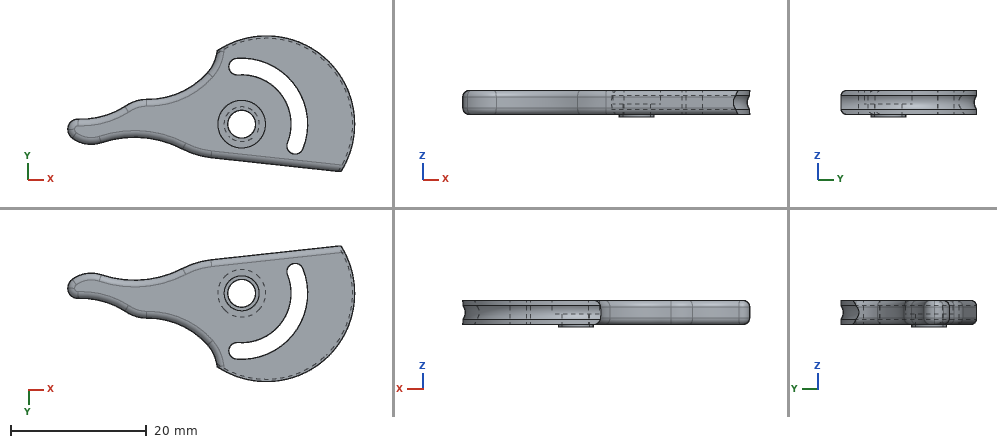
import cadquery as cq
import math

thickness = 3.6
edge_radius = 1.0

rim_radius = 13.0
rim_offset = 3.65
rim_start_angle = 123.9
rim_end_angle = -32.6

head_margin = 2.55
head_lean = 0.42
trim_margin = 3
trim_reach = 3 * rim_radius

groove_half_width = 1.0
groove_depth = 0.35

bore_radius = 2.03
counterbore_radius = 3.5
counterbore_depth = 2.0
boss_radius = 2.57
boss_height = 0.4

slot_radius = 8.5
slot_width = 2.4
slot_start_angle = -22
slot_end_angle = 94.5


def polar(radius, angle, center_x=0):
    """Point at an angle in degrees on a circle centred on the X axis."""
    turn = math.radians(angle)
    return (center_x + radius * math.cos(turn), radius * math.sin(turn))


def make_blank():
    """Lever with an oversized head, rounded along its top and bottom edges."""
    rim_start = polar(rim_radius, rim_start_angle, rim_offset)
    rim_end = polar(rim_radius, rim_end_angle, rim_offset)
    edge_start = (-4.5, -4.95)
    edge_slope = (rim_end[1] - edge_start[1]) / (rim_end[0] - edge_start[0])
    head_right = rim_offset + rim_radius + head_margin
    head_top = rim_radius + head_margin
    head_low = rim_end[1] + edge_slope * (head_right - rim_end[0])
    outline = (
        cq.Workplane("XY")
        .moveTo(-13.95, 3.67)
        .threePointArc((-9.5, 4.47), (-5.02, 7.6))
        .tangentArcPoint(rim_start, relative=False)
        .lineTo(rim_start[0] + head_lean, head_top)
        .lineTo(head_right, head_top)
        .lineTo(head_right, head_low)
        .lineTo(*edge_start)
        .tangentArcPoint((-8.7, -3.67), relative=False)
        .tangentArcPoint((-20.65, -2.75), relative=False)
        .tangentArcPoint((-24.9, -2.05), relative=False)
        .tangentArcPoint((-25.57, -0.75), relative=False)
        .tangentArcPoint((-24.0, 0.75), relative=False)
        .threePointArc((-20.42, 1.2), (-17.18, 2.6))
        .threePointArc((-15.7, 3.38), (-13.95, 3.67))
        .close()
    )
    return outline.extrude(thickness).faces("|Z").edges().fillet(edge_radius)


def make_groove():
    """Torus that sinks a hollow of circular profile into the rim."""
    bottom = rim_radius - groove_depth
    arc_radius = (groove_half_width**2 + groove_depth**2) / (2 * groove_depth)
    ring_radius = bottom + arc_radius
    ring = cq.Solid.makeTorus(ring_radius, arc_radius)
    return cq.Workplane(ring).translate((rim_offset, 0, thickness / 2))


def make_rim_trim():
    """Waste outside the grooved rim; trimming it leaves the rim edges sharp."""
    center = (rim_offset, 0)
    wedge = (
        cq.Workplane("XY")
        .moveTo(*center)
        .lineTo(*polar(trim_reach, rim_end_angle - trim_margin, rim_offset))
        .threePointArc(
            polar(trim_reach, (rim_start_angle + rim_end_angle) / 2, rim_offset),
            polar(trim_reach, rim_start_angle + trim_margin, rim_offset),
        )
        .close()
        .extrude(thickness)
    )
    disc = cq.Workplane("XY").center(*center).circle(rim_radius).extrude(thickness)
    return wedge.cut(disc.cut(make_groove()))


def make_slot():
    """Round-ended slot swept about the pivot."""
    inner = slot_radius - slot_width / 2
    outer = slot_radius + slot_width / 2
    middle_angle = (slot_start_angle + slot_end_angle) / 2
    slot = (
        cq.Workplane("XY")
        .moveTo(*polar(inner, slot_start_angle))
        .threePointArc(polar(inner, middle_angle), polar(inner, slot_end_angle))
        .lineTo(*polar(outer, slot_end_angle))
        .threePointArc(polar(outer, middle_angle), polar(outer, slot_start_angle))
        .close()
        .extrude(thickness)
    )
    ends = [polar(slot_radius, angle) for angle in (slot_start_angle, slot_end_angle)]
    caps = cq.Workplane("XY").pushPoints(ends).circle(slot_width / 2).extrude(thickness)
    return slot.union(caps)


boss = cq.Workplane("XY").circle(boss_radius).extrude(-boss_height)
bore = cq.Workplane("XY", origin=(0, 0, -boss_height)).circle(bore_radius).extrude(thickness + boss_height)
counterbore = (
    cq.Workplane("XY", origin=(0, 0, thickness))
    .circle(counterbore_radius)
    .extrude(-counterbore_depth)
)

result = make_blank().cut(make_rim_trim()).cut(make_slot())
result = result.union(boss).cut(bore).cut(counterbore)